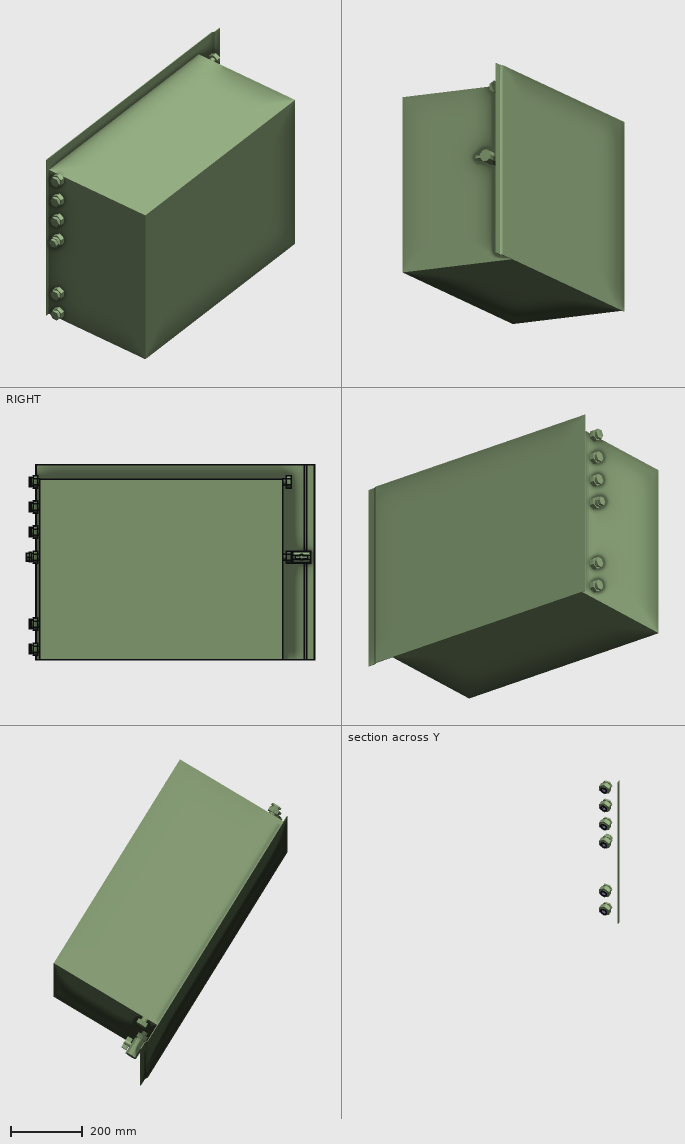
import cadquery as cq

overall_width = 344.0
overall_height = 545.0
sheet_thickness = 2.0
box_width = overall_width - sheet_thickness
box_depth = 678.0
box_height = 504.0

sheet_front_overhang = 11.0
sheet_rear_overhang = 89.0
flange_length = 22.5
step_length = 7.0
step_offset = 5.0

port_x = 43.0
port_pitch = 70.0
lower_port_z = 30.0
lower_port_count = 2
upper_port_z = 287.0
upper_port_count = 4
pipe_diameter = 18.0
nut_across_flats = 30.0
nut_length = 13.0
hexagon_sides = 6

front_nut_start = 6.0
collar_diameter = 23.0
cap_across_corners = 30.5
cap_start = 23.0
cap_length = 6.0
plug_across_corners = 26.0
plug_end = 38.0

valve_z = upper_port_z
rear_nut_start = 10.5
valve_collar_diameter = 26.0
body_start = 27.0
body_length = 51.0
body_sides = 9
body_across_corners = 35.0
stem_diameter = 12.0
handle_start = 19.0
handle_thickness = 16.0
handle_hub_diameter = 15.0
handle_span = 35.5
handle_bar_height = 8.0


def make_box():
    return cq.Workplane("XY").box(box_width, box_depth, box_height, centered=False)


def make_sheet():
    front = -sheet_front_overhang
    rear = box_depth + sheet_rear_overhang
    step_end = rear - flange_length
    step_start = step_end - step_length
    outer = -sheet_thickness
    profile = [
        (outer, front),
        (0, front),
        (0, step_start),
        (step_offset, step_end),
        (step_offset, rear),
        (outer + step_offset, rear),
        (outer + step_offset, step_end),
        (outer, step_start),
    ]
    return cq.Workplane("XY").polyline(profile).close().extrude(overall_height)


def port_plane(face_y, direction, z, start):
    """Plane at a distance from the box face, facing outward along Y (direction is -1 or 1)."""
    origin = (port_x, face_y + direction * start, z)
    return cq.Workplane(cq.Plane(origin=origin, xDir=(1, 0, 0), normal=(0, direction, 0)))


def pipe_and_nut(face_y, direction, z, nut_start):
    pipe = port_plane(face_y, direction, z, 0).circle(pipe_diameter / 2).extrude(nut_start)
    nut = (
        port_plane(face_y, direction, z, nut_start)
        .polygon(hexagon_sides, nut_across_flats, circumscribed=True)
        .extrude(nut_length)
    )
    return pipe.union(nut)


def make_front_fitting(z):
    collar_start = front_nut_start + nut_length
    collar = port_plane(0, -1, z, collar_start).circle(collar_diameter / 2).extrude(cap_start - collar_start)
    cap = port_plane(0, -1, z, cap_start).polygon(hexagon_sides, cap_across_corners).extrude(cap_length)
    return pipe_and_nut(0, -1, z, front_nut_start).union(collar).union(cap)


def make_plug(z):
    plug_start = cap_start + cap_length
    return (
        port_plane(0, -1, z, plug_start)
        .polygon(hexagon_sides, plug_across_corners)
        .extrude(plug_end - plug_start)
    )


def make_handle():
    """Stem, round hub and flat bar on the +X side of the valve body."""
    handle_y = box_depth + body_start + body_length / 2
    stem_plane = cq.Workplane("YZ", origin=(port_x, handle_y, valve_z))
    stem = stem_plane.circle(stem_diameter / 2).extrude(handle_start)
    handle_plane = stem_plane.workplane(offset=handle_start)
    hub = handle_plane.circle(handle_hub_diameter / 2).extrude(handle_thickness)
    bar = handle_plane.rect(handle_span, handle_bar_height).extrude(handle_thickness)
    return stem.union(hub).union(bar)


def make_valve():
    collar_start = rear_nut_start + nut_length
    collar = (
        port_plane(box_depth, 1, valve_z, collar_start)
        .circle(valve_collar_diameter / 2)
        .extrude(body_start - collar_start)
    )
    body = (
        port_plane(box_depth, 1, valve_z, body_start)
        .transformed(rotate=(0, 0, 180))
        .polygon(body_sides, body_across_corners)
        .extrude(body_length)
    )
    base = pipe_and_nut(box_depth, 1, valve_z, rear_nut_start)
    return base.union(collar).union(body).union(make_handle())


result = make_box().union(make_sheet())

lower_ports = [lower_port_z + i * port_pitch for i in range(lower_port_count)]
upper_ports = [upper_port_z + i * port_pitch for i in range(upper_port_count)]
for port_z in lower_ports + upper_ports:
    result = result.union(make_front_fitting(port_z))

result = result.union(make_plug(upper_port_z))
result = result.union(make_valve())

result = result.union(pipe_and_nut(box_depth, 1, upper_ports[-1], rear_nut_start))